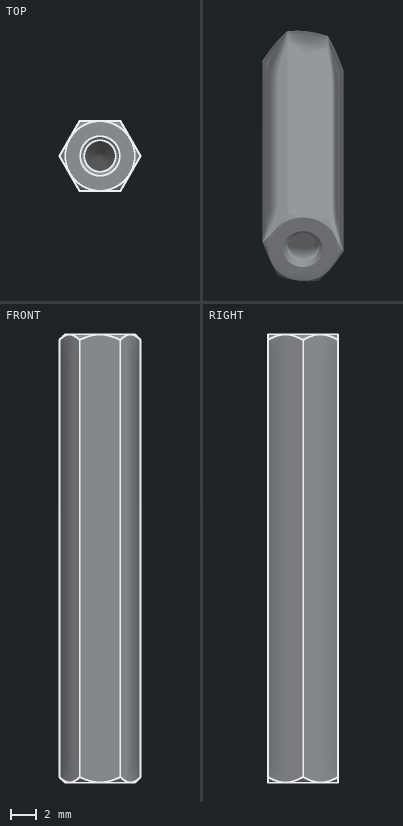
import cadquery as cq
import math

length = 35.0
across_flats = 5.5
across_corners = across_flats / math.cos(math.pi / 6)

end_face_diameter = 5.42
chamfer_angle = 45.0

hole_diameter = 2.45
mouth_diameter = 3.08
countersink_angle = 90.0
hole_depth = 10.0
drill_point_angle = 118.0


def cone_height(radius_change, included_angle):
    return radius_change / math.tan(math.radians(included_angle / 2))


def turned_envelope():
    """Cylinder around the corners, coned down to the end faces."""
    corner_radius = across_corners / 2
    face_radius = end_face_diameter / 2
    chamfer_height = (corner_radius - face_radius) * math.tan(math.radians(chamfer_angle))
    return (
        cq.Workplane("XZ")
        .moveTo(0, 0)
        .lineTo(face_radius, 0)
        .lineTo(corner_radius, chamfer_height)
        .lineTo(corner_radius, length - chamfer_height)
        .lineTo(face_radius, length)
        .lineTo(0, length)
        .close()
        .revolve(360, (0, 0), (0, 1))
    )


def end_hole():
    """Hole opening at the top face, as a solid to cut away."""
    hole_radius = hole_diameter / 2
    mouth_radius = mouth_diameter / 2
    countersink_depth = cone_height(mouth_radius - hole_radius, countersink_angle)
    tip_depth = hole_depth + cone_height(hole_radius, drill_point_angle)
    return (
        cq.Workplane("XZ")
        .moveTo(0, length)
        .lineTo(mouth_radius, length)
        .lineTo(hole_radius, length - countersink_depth)
        .lineTo(hole_radius, length - hole_depth)
        .lineTo(0, length - tip_depth)
        .close()
        .revolve(360, (0, 0), (0, 1))
    )


bar = cq.Workplane("XY").polygon(6, across_corners).extrude(length)
top_hole = end_hole()
bottom_hole = top_hole.mirror("XY", (0, 0, length / 2))
result = bar.intersect(turned_envelope()).cut(top_hole).cut(bottom_hole)